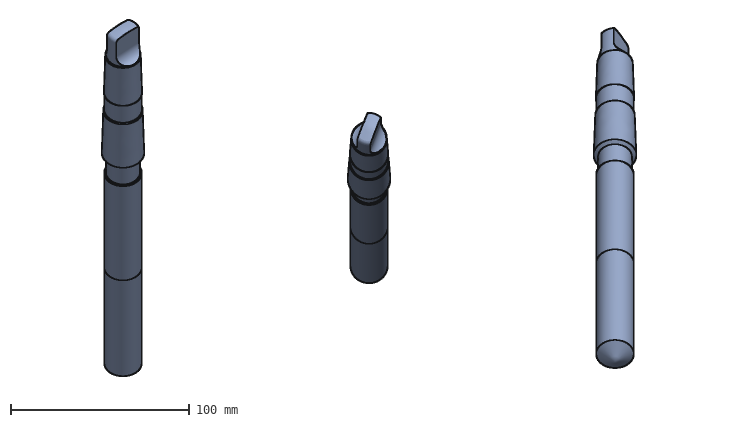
import cadquery as cq
import math

overall_length = 273.05
drill_diameter = 21.2
point_angle = 118.0
head_length = 82.8

body_top = 158.3
body_chamfer = 0.5
neck_diameter = 19.14

taper_ratio = 0.0502
taper_large_diameter = 24.06
taper_bottom = 172.6
taper_bevel_height = 1.4
taper_top = 251.45
shoulder_bevel_height = 0.7

groove_diameter = 21.2
groove_bottom = 207.65
groove_bevel_height = 0.8
groove_top = 222.0

tang_diameter = 19.14
tang_thickness = 7.9
tang_flat_length = 14.1
tang_root_radius = 7.2
tang_corner_radius = 2.2
tang_crown_height = 1.2

drill_radius = drill_diameter / 2
neck_radius = neck_diameter / 2
groove_radius = groove_diameter / 2
tang_radius = tang_diameter / 2
point_height = drill_radius / math.tan(math.radians(point_angle / 2))
taper_base = taper_bottom + taper_bevel_height
tang_edge_height = overall_length - tang_crown_height


def taper_radius(z):
    """Radius of the taper at height z."""
    return (taper_large_diameter - taper_ratio * (z - taper_base)) / 2


def revolve_profile(points):
    """Turn a closed (radius, height) outline about the Z axis."""
    return cq.Workplane("XZ").polyline(points).close().revolve(360, (0, 0), (0, 1))


def make_drill_head():
    """Cylinder with a conical point at the origin."""
    return revolve_profile([
        (0, 0),
        (drill_radius, point_height),
        (drill_radius, head_length),
        (0, head_length),
    ])


def make_turned_shank():
    """Body, neck, grooved taper and the round blank of the tang."""
    blank = revolve_profile([
        (0, head_length),
        (drill_radius, head_length),
        (drill_radius, body_top - body_chamfer),
        (drill_radius - body_chamfer, body_top),
        (neck_radius, body_top),
        (neck_radius, taper_bottom),
        (taper_radius(taper_base), taper_base),
        (taper_radius(groove_bottom), groove_bottom),
        (groove_radius, groove_bottom + groove_bevel_height),
        (groove_radius, groove_top),
        (taper_radius(groove_top), groove_top),
        (taper_radius(taper_top), taper_top),
        (tang_radius, taper_top + shoulder_bevel_height),
        (tang_radius, tang_edge_height),
        (0, overall_length),
    ])
    rim = cq.selectors.BoxSelector(
        (-tang_diameter, -tang_diameter, tang_edge_height - tang_corner_radius / 2),
        (tang_diameter, tang_diameter, tang_edge_height + tang_crown_height / 2),
    )
    return blank.edges(rim).edges("%CIRCLE").fillet(tang_corner_radius)


def make_tang_cutter(side):
    """Material beside one tang flat, ending in a concave quarter round at the root."""
    flat_x = tang_thickness / 2
    outer_x = flat_x + tang_root_radius
    flat_end = overall_length - tang_flat_length
    diagonal = tang_root_radius * math.sqrt(0.5)
    return (
        cq.Workplane("XZ")
        .moveTo(side * flat_x, overall_length)
        .lineTo(side * flat_x, flat_end)
        .threePointArc(
            (side * (outer_x - diagonal), flat_end - diagonal),
            (side * outer_x, flat_end - tang_root_radius),
        )
        .lineTo(side * outer_x, overall_length)
        .close()
        .extrude(tang_radius, both=True)
    )


def make_shank():
    """Turned shank with the two tang flats cut."""
    shank = make_turned_shank()
    for side in (-1, 1):
        shank = shank.cut(make_tang_cutter(side))
    return shank


drill_head = make_drill_head()
shank = make_shank()

result = cq.Compound.makeCompound([drill_head.val(), shank.val()])